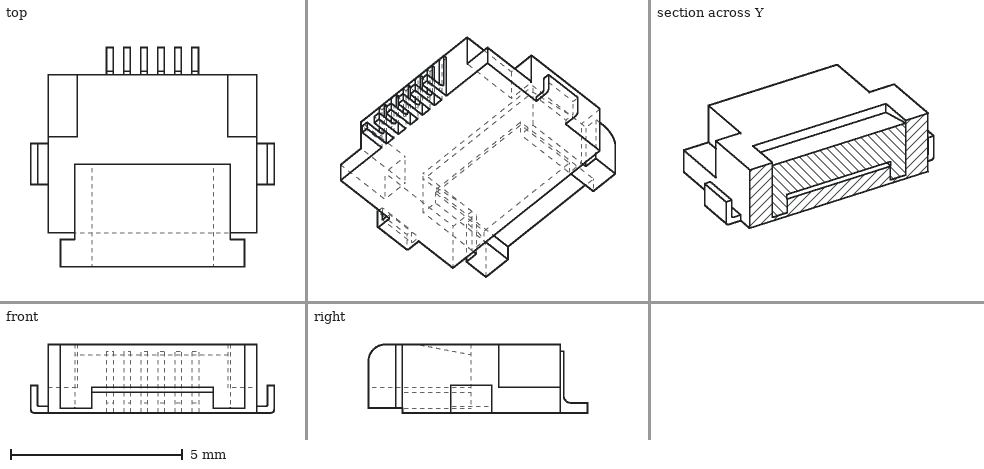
import cadquery as cq


overall_width = 7.1
overall_height = 2.0
housing_width = 6.09
housing_length = 4.61
corner_cut_width = 0.845
corner_cut_length = 1.8
ledge_height = 0.745

slider_bottom = 0.14
tongue_width = 4.545
tongue_rear_y = -2.61
ramp_length = 1.57
ramp_drop = 0.3
bar_width = 5.37
bar_depth = 0.8
bar_gap = 0.19
bar_radius = 0.505
bar_rear_y = -housing_length - bar_gap
bar_front_y = bar_rear_y - bar_depth

cable_slot_width = 3.535
cable_slot_floor = 0.6
cable_slot_top = 0.745

terminal_count = 6
terminal_pitch = 0.5
terminal_width = 0.2
terminal_reach = 0.795
terminal_foot_height = 0.3
terminal_stem_height = 1.8
terminal_stem_thickness = 0.1
terminal_radius = 0.2

tab_thickness = 0.2
tab_width = 1.2
tab_rear_y = -2.0
tab_height = 0.8
tab_outer_radius = 0.1
tab_inner_radius = 0.05


def block(width, y_front, y_rear, z_bottom, z_top):
    """Box centred on X = 0 between the given Y and Z limits."""
    size = (width, y_rear - y_front, z_top - z_bottom)
    return cq.Workplane().box(*size, centered=(True, False, False)).translate((0, y_front, z_bottom))


def extrude_along_x(profile, width):
    """Extrude a YZ profile to a width centred on X = 0."""
    return profile.extrude(width / 2, both=True)


def make_terminal():
    """L-shaped lead: a foot on the board and a stem up the housing rear face."""
    profile = (
        cq.Workplane("YZ")
        .moveTo(0, 0)
        .lineTo(terminal_reach, 0)
        .lineTo(terminal_reach, terminal_foot_height)
        .lineTo(terminal_stem_thickness, terminal_foot_height)
        .lineTo(terminal_stem_thickness, terminal_stem_height)
        .lineTo(0, terminal_stem_height)
        .close()
    )
    inner_corner = cq.selectors.NearestToPointSelector((0, terminal_stem_thickness, terminal_foot_height))
    return extrude_along_x(profile, terminal_width).edges("|X").edges(inner_corner).fillet(terminal_radius)


def make_solder_tab():
    """L-shaped tab on the +X side: a flat foot with its outer end bent up."""
    y_front = tab_rear_y - tab_width
    reach = (overall_width - housing_width) / 2
    tab = block(reach, y_front, tab_rear_y, 0, tab_height)
    tab = tab.edges("|Y and >X and <Z").fillet(tab_outer_radius)
    inside = block(reach, y_front, tab_rear_y, tab_thickness, tab_height).translate((-tab_thickness, 0, 0))
    inside = inside.edges("|Y and >X and <Z").fillet(tab_inner_radius)
    return tab.cut(inside).translate(((housing_width + reach) / 2, 0, 0))


def make_slider():
    """Cross bar and ramped tongue, with a cable notch running along the underside."""
    bar = block(bar_width, bar_front_y, bar_rear_y, slider_bottom, overall_height)
    bar = bar.edges("|X and >Z and <Y").fillet(bar_radius)
    tongue_profile = (
        cq.Workplane("YZ")
        .moveTo(bar_rear_y, slider_bottom)
        .lineTo(tongue_rear_y, slider_bottom)
        .lineTo(tongue_rear_y, overall_height - ramp_drop)
        .lineTo(tongue_rear_y - ramp_length, overall_height)
        .lineTo(bar_rear_y, overall_height)
        .close()
    )
    tongue = extrude_along_x(tongue_profile, tongue_width)
    notch = block(cable_slot_width, bar_front_y, tongue_rear_y, slider_bottom, cable_slot_top)
    return bar.union(tongue).cut(notch)


def make_housing():
    """Housing block with the slider pocket, cable bed, terminals and solder tabs."""
    body = block(housing_width, -housing_length, 0, 0, overall_height)

    corner_cut_x = (housing_width - corner_cut_width) / 2
    corner_cut = block(corner_cut_width, -corner_cut_length, 0, ledge_height, overall_height)
    for side in (-1, 1):
        body = body.cut(corner_cut.translate((side * corner_cut_x, 0, 0)))

    pocket = block(tongue_width, -housing_length, tongue_rear_y, slider_bottom, overall_height)
    cable_bed = block(cable_slot_width, -housing_length, tongue_rear_y, slider_bottom, cable_slot_floor)
    body = body.cut(pocket.cut(cable_bed))

    terminal = make_terminal()
    for index in range(terminal_count):
        x = (index - (terminal_count - 1) / 2) * terminal_pitch
        body = body.union(terminal.translate((x, 0, 0)))

    tab = make_solder_tab()
    return body.union(tab).union(tab.mirror("YZ"))


housing = make_housing()
slider = make_slider()

result = cq.Compound.makeCompound([housing.solids().val(), slider.solids().val()])